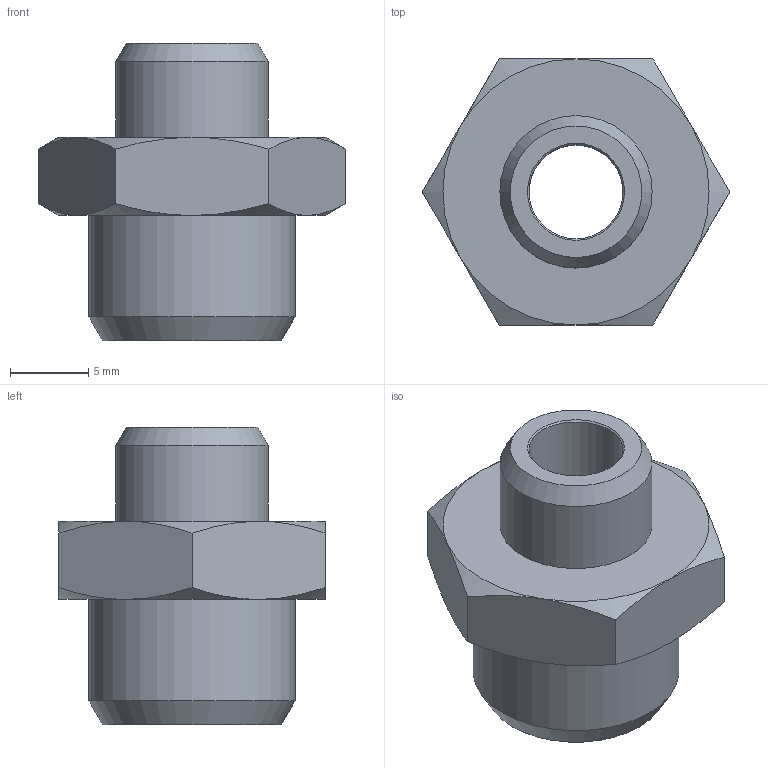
import cadquery as cq
import math

hex_sides = 6
across_flats = 17.0
hex_height = 5.0
hex_chamfer_angle = 30.0

upper_diameter = 9.73
upper_length = 6.0
upper_tip_diameter = 8.4
lower_diameter = 13.16
lower_length = 8.0
lower_tip_diameter = 11.4
tip_chamfer_angle = 60.0

bore_diameter = 6.0
bore_chamfer = 0.1

hex_bottom = lower_length
hex_top = hex_bottom + hex_height
total_height = hex_top + upper_length


def make_hexagon():
    """Hexagon with corners on the X axis, both faces turned to a cone."""
    corner_diameter = across_flats / math.cos(math.pi / hex_sides)
    prism = (
        cq.Workplane("XY")
        .workplane(offset=hex_bottom)
        .polygon(hex_sides, corner_diameter)
        .extrude(hex_height)
    )
    flat_radius = across_flats / 2
    corner_radius = corner_diameter / 2
    drop = (corner_radius - flat_radius) * math.tan(math.radians(hex_chamfer_angle))
    turned_blank = (
        cq.Workplane("XZ")
        .moveTo(0, hex_bottom)
        .lineTo(flat_radius, hex_bottom)
        .lineTo(corner_radius, hex_bottom + drop)
        .lineTo(corner_radius, hex_top - drop)
        .lineTo(flat_radius, hex_top)
        .lineTo(0, hex_top)
        .close()
        .revolve(360, (0, 0, 0), (0, 1, 0))
    )
    return prism.intersect(turned_blank)


def make_male_end(diameter, tip_diameter, face, direction, length):
    """Turned end standing on a hexagon face; direction is +1 up or -1 down."""
    radius = diameter / 2
    tip_radius = tip_diameter / 2
    chamfer_height = (radius - tip_radius) * math.tan(math.radians(tip_chamfer_angle))
    tip = face + direction * length
    chamfer_start = tip - direction * chamfer_height
    return (
        cq.Workplane("XZ")
        .moveTo(0, face)
        .lineTo(radius, face)
        .lineTo(radius, chamfer_start)
        .lineTo(tip_radius, tip)
        .lineTo(0, tip)
        .close()
        .revolve(360, (0, 0, 0), (0, 1, 0))
    )


def make_bore():
    """Through bore with a small chamfer at the upper mouth."""
    bore_radius = bore_diameter / 2
    mouth_radius = bore_radius + bore_chamfer
    return (
        cq.Workplane("XZ")
        .lineTo(bore_radius, 0)
        .lineTo(bore_radius, total_height - bore_chamfer)
        .lineTo(mouth_radius, total_height)
        .lineTo(0, total_height)
        .close()
        .revolve(360, (0, 0, 0), (0, 1, 0))
    )


upper_end = make_male_end(upper_diameter, upper_tip_diameter, hex_top, 1, upper_length)
lower_end = make_male_end(lower_diameter, lower_tip_diameter, hex_bottom, -1, lower_length)

result = make_hexagon().union(upper_end).union(lower_end).cut(make_bore())